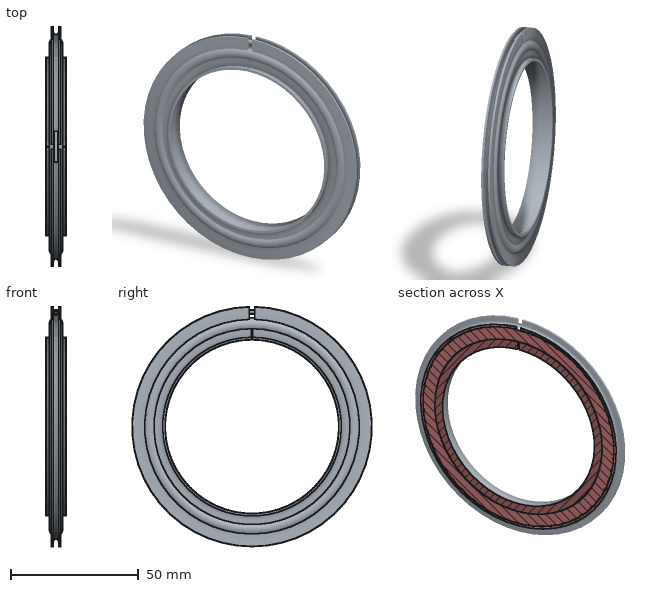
import cadquery as cq
import math


cord_radius = 2.65
cord_ring_radius = 40.1

outer_radius = 47.0
outer_width = 3.6
outer_gap = 2.0
groove_width = 2.0
groove_depth = 3.0
groove_end_radius = groove_width / 2
groove_center_radius = outer_radius - groove_depth + groove_end_radius

bore_radius = 34.0
rim_radius = 35.0
rim_width = 8.0
web_width = 4.0
inner_gap = 0.4

sleeve_clearance = 0.1
sleeve_outer_radius = groove_end_radius - sleeve_clearance
sleeve_bore_radius = 0.7
sleeve_span = 12.0
sleeve_angle = 2 * math.degrees(math.asin(sleeve_span / 2 / groove_center_radius))

half_outer = outer_width / 2
half_web = web_width / 2
outer_seat_edge = cord_ring_radius + math.sqrt(cord_radius**2 - half_outer**2)
inner_seat_edge = cord_ring_radius - math.sqrt(cord_radius**2 - half_web**2)


def revolve_about_x(profile):
    """Turn a profile drawn in (X, radius) into a full ring."""
    return profile.revolve(360, (0, 0, 0), (1, 0, 0))


def gap_cutter(gap):
    """Slot at the top of a ring, centred on Y = 0."""
    return cq.Workplane("XY").box(rim_width, gap, outer_radius, centered=(True, True, False))


def make_cord_ring():
    """Full round ring that joins the two split rings."""
    profile = cq.Workplane("XZ").center(0, cord_ring_radius).circle(cord_radius)
    return profile.revolve(360, (0, -cord_ring_radius, 0), (1, -cord_ring_radius, 0))


def make_outer_ring():
    """Split flange ring with a round-bottomed groove in its rim."""
    half_groove = groove_width / 2
    profile = (
        cq.Workplane("XZ")
        .moveTo(-half_outer, outer_seat_edge)
        .lineTo(-half_outer, outer_radius)
        .lineTo(-half_groove, outer_radius)
        .lineTo(-half_groove, groove_center_radius)
        .threePointArc((0, outer_radius - groove_depth), (half_groove, groove_center_radius))
        .lineTo(half_groove, outer_radius)
        .lineTo(half_outer, outer_radius)
        .lineTo(half_outer, outer_seat_edge)
        .threePointArc((0, cord_ring_radius + cord_radius), (-half_outer, outer_seat_edge))
        .close()
    )
    return revolve_about_x(profile).cut(gap_cutter(outer_gap))


def make_inner_ring():
    """Split T-section ring: a wide rim at the bore and a web under the cord."""
    half_rim = rim_width / 2
    profile = (
        cq.Workplane("XZ")
        .moveTo(-half_rim, bore_radius)
        .lineTo(half_rim, bore_radius)
        .lineTo(half_rim, rim_radius)
        .lineTo(half_web, rim_radius)
        .lineTo(half_web, inner_seat_edge)
        .threePointArc((0, cord_ring_radius - cord_radius), (-half_web, inner_seat_edge))
        .lineTo(-half_web, rim_radius)
        .lineTo(-half_rim, rim_radius)
        .close()
    )
    return revolve_about_x(profile).cut(gap_cutter(inner_gap))


def make_sleeve():
    """Tube bent to the groove radius and centred on the outer ring's gap."""
    section = (
        cq.Workplane("XZ")
        .center(0, groove_center_radius)
        .circle(sleeve_outer_radius)
        .circle(sleeve_bore_radius)
    )
    tube = section.revolve(sleeve_angle, (0, -groove_center_radius, 0), (1, -groove_center_radius, 0))
    return tube.rotate((0, 0, 0), (1, 0, 0), -sleeve_angle / 2)


cord_ring = make_cord_ring()
outer_ring = make_outer_ring()
inner_ring = make_inner_ring()
sleeve = make_sleeve()

result = cq.Compound.makeCompound(
    [outer_ring.val(), cord_ring.val(), inner_ring.val(), sleeve.val()]
)